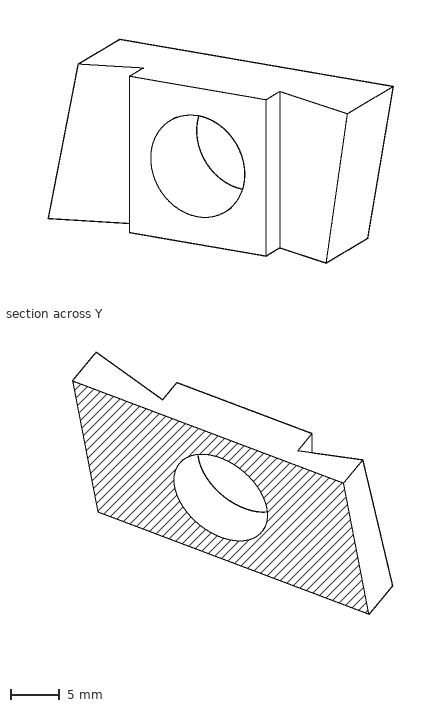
import cadquery as cq
import math

length = 35.0
depth = 10.0
height = 17.0
end_angle = 10.0
pad_width = 15.95
pad_step = 3.0
bore_diameter = 11.0

half_length = length / 2
half_pad = pad_width / 2
end_lean = height * math.tan(math.radians(end_angle))
front_y = -depth / 2
back_y = depth / 2
root_y = front_y + pad_step


def dovetail_body():
    """Bar with a central pad and wing faces sloping back toward the pad."""
    outline = [
        (-half_length, back_y),
        (-half_length, front_y),
        (-half_pad, root_y),
        (-half_pad, front_y),
        (half_pad, front_y),
        (half_pad, root_y),
        (half_length, front_y),
        (half_length, back_y),
    ]
    return (
        cq.Workplane("XY")
        .workplane(offset=-height / 2)
        .polyline(outline)
        .close()
        .extrude(height)
    )


def leaning_envelope():
    """Parallelogram prism along Y that gives the body its leaning ends."""
    outline = [
        (-half_length, -height / 2),
        (half_length - end_lean, -height / 2),
        (half_length, height / 2),
        (-half_length + end_lean, height / 2),
    ]
    return cq.Workplane("XZ").polyline(outline).close().extrude(depth / 2, both=True)


def through_bore():
    """Cylinder along Y through the centre of the pad."""
    return cq.Workplane("XZ").circle(bore_diameter / 2).extrude(depth, both=True)


result = dovetail_body().intersect(leaning_envelope()).cut(through_bore())